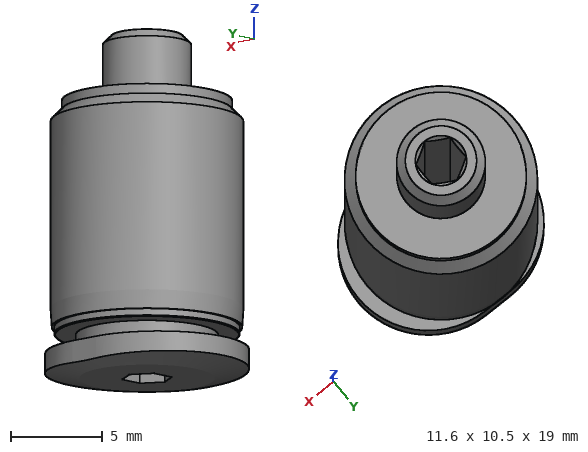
import cadquery as cq
import math

TOTAL_HEIGHT = 19.0
FLANGE_TOP = 1.48
LIP_BOTTOM = 2.41
LIP_TOP = 2.83
TAPER_TOP = 3.85
SHOULDER = 15.4

STUD_DIAMETER = 4.83
COLLAR_DIAMETER = 9.3
BODY_DIAMETER = 10.5
TAPER_END_DIAMETER = 10.37
LIP_DIAMETER = 10.1
NECK_DIAMETER = 7.75

STUD_CHAMFER = 0.48
COLLAR_HEIGHT = 0.53
LIP_CHAMFER = 0.05
NECK_FILLET = 0.38

FLANGE_LENGTH = 11.6
FLANGE_WIDTH = 9.82
UNDERSIDE_FLAT_DIAMETER = 7.37
UNDERSIDE_RISE = 0.44

HEX_ACROSS_FLATS = 2.4
COUNTERSINK_DIAMETER = 2.8


def make_turned_body():
    """Neck, lip, tapered sleeve, collar and stud revolved about Z."""
    stud_radius = STUD_DIAMETER / 2
    collar_radius = COLLAR_DIAMETER / 2
    body_radius = BODY_DIAMETER / 2
    lip_radius = LIP_DIAMETER / 2
    neck_radius = NECK_DIAMETER / 2
    collar_bottom = SHOULDER - COLLAR_HEIGHT
    body_top = collar_bottom - (body_radius - collar_radius)
    fillet_top = FLANGE_TOP + NECK_FILLET
    fillet_inset = NECK_FILLET * (1 - math.cos(math.pi / 4))

    profile = (
        cq.Workplane("XZ")
        .moveTo(0, FLANGE_TOP)
        .lineTo(neck_radius + NECK_FILLET, FLANGE_TOP)
        .threePointArc(
            (neck_radius + fillet_inset, FLANGE_TOP + fillet_inset),
            (neck_radius, fillet_top),
        )
        .lineTo(neck_radius, LIP_BOTTOM)
        .lineTo(lip_radius - LIP_CHAMFER, LIP_BOTTOM)
        .lineTo(lip_radius, LIP_BOTTOM + LIP_CHAMFER)
        .lineTo(lip_radius, LIP_TOP)
        .lineTo(TAPER_END_DIAMETER / 2, LIP_TOP)
        .lineTo(body_radius, TAPER_TOP)
        .lineTo(body_radius, body_top)
        .lineTo(collar_radius, collar_bottom)
        .lineTo(collar_radius, SHOULDER)
        .lineTo(stud_radius, SHOULDER)
        .lineTo(stud_radius, TOTAL_HEIGHT - STUD_CHAMFER)
        .lineTo(stud_radius - STUD_CHAMFER, TOTAL_HEIGHT)
        .lineTo(0, TOTAL_HEIGHT)
        .close()
    )
    return profile.revolve(360, (0, 0), (0, 1))


def make_flange():
    """Oval plate trimmed by a disc that has a conical underside."""
    oval = cq.Workplane("XY").slot2D(FLANGE_LENGTH, FLANGE_WIDTH).extrude(FLANGE_TOP)
    rim_radius = FLANGE_LENGTH / 2
    coned_disc = (
        cq.Workplane("XZ")
        .lineTo(UNDERSIDE_FLAT_DIAMETER / 2, 0)
        .lineTo(rim_radius, UNDERSIDE_RISE)
        .lineTo(rim_radius, FLANGE_TOP)
        .lineTo(0, FLANGE_TOP)
        .close()
        .revolve(360, (0, 0), (0, 1))
    )
    return oval.intersect(coned_disc)


def make_passage():
    """Hexagonal through hole, corners along Y, countersunk at the stud end."""
    across_corners = HEX_ACROSS_FLATS / math.cos(math.pi / 6)
    hexagon = (
        cq.Workplane("XY")
        .transformed(rotate=(0, 0, 90))
        .polygon(6, across_corners)
        .extrude(TOTAL_HEIGHT)
    )
    countersink_radius = COUNTERSINK_DIAMETER / 2
    countersink = (
        cq.Workplane("XZ")
        .moveTo(0, TOTAL_HEIGHT)
        .lineTo(countersink_radius, TOTAL_HEIGHT)
        .lineTo(0, TOTAL_HEIGHT - countersink_radius)
        .close()
        .revolve(360, (0, 0), (0, 1))
    )
    return hexagon.union(countersink)


result = make_turned_body().union(make_flange()).cut(make_passage())